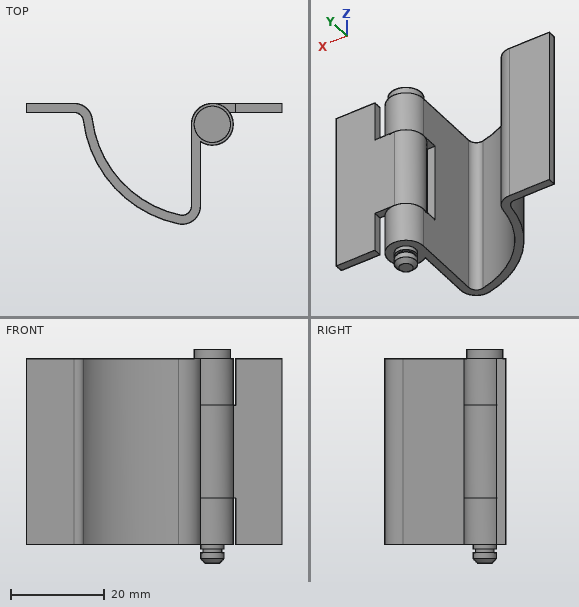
import cadquery as cq
import math

overall_width = 55.0
overall_depth = 26.0
leaf_height = 40.0
sheet = 2.0
bend_inner_radius = 2.0
flange_length = 10.3
bow_outer_radius = 26.0

pin_radius = 2.55
pin_x = 40.0
end_knuckle_height = 10.0
knuckle_clearance = 0.5

head_radius = 3.9
head_height = 2.0
tail_length = 4.0
groove_start = 1.0
groove_width = 0.7
groove_depth = 0.5
tip_chamfer = 1.0

knuckle_radius = pin_radius + sheet
pin_y = -knuckle_radius
bend_outer_radius = bend_inner_radius + sheet
bow_inner_radius = bow_outer_radius - sheet
arm_left = pin_x - knuckle_radius
arm_right = arm_left + sheet
mid_knuckle_height = leaf_height - 2 * end_knuckle_height
plate_offset = knuckle_radius + knuckle_clearance


def circle_crossing(a, radius_a, b, radius_b):
    """Crossing of two circles on the left of the line from a to b."""
    dx = b[0] - a[0]
    dy = b[1] - a[1]
    distance = math.hypot(dx, dy)
    along = (radius_a**2 - radius_b**2 + distance**2) / (2 * distance)
    across = math.sqrt(radius_a**2 - along**2)
    return (a[0] + (along * dx - across * dy) / distance, a[1] + (along * dy + across * dx) / distance)


def polar(center, radius, angle):
    return (center[0] + radius * math.cos(angle), center[1] + radius * math.sin(angle))


def knuckle(bottom, height):
    """Solid barrel around the pin axis; the bore is cut later."""
    return cq.Workplane("XY", origin=(pin_x, pin_y, bottom)).circle(knuckle_radius).extrude(height)


def pin_bore():
    return cq.Workplane("XY").center(pin_x, pin_y).circle(pin_radius).extrude(leaf_height)


def formed_sheet():
    """Flange, first bend, bowed wall, second bend and straight arm, all tangent."""
    first_bend = (flange_length, -bend_outer_radius)
    second_bend = (arm_left - bend_inner_radius, bend_outer_radius - overall_depth)
    bow = circle_crossing(
        first_bend,
        bow_outer_radius + bend_inner_radius,
        second_bend,
        bow_outer_radius - bend_outer_radius,
    )

    first_angle = math.atan2(bow[1] - first_bend[1], bow[0] - first_bend[0])
    first_middle = (math.pi / 2 + first_angle) / 2
    bow_start = first_angle + math.pi
    bow_end = math.atan2(second_bend[1] - bow[1], second_bend[0] - bow[0]) + 2 * math.pi
    bow_middle = (bow_start + bow_end) / 2
    second_middle = (bow_end + 2 * math.pi) / 2

    return (
        cq.Workplane("XY")
        .moveTo(0, 0)
        .lineTo(flange_length, 0)
        .threePointArc(
            polar(first_bend, bend_outer_radius, first_middle),
            polar(first_bend, bend_outer_radius, first_angle),
        )
        .threePointArc(polar(bow, bow_inner_radius, bow_middle), polar(bow, bow_inner_radius, bow_end))
        .threePointArc(
            polar(second_bend, bend_inner_radius, second_middle),
            (arm_left, second_bend[1]),
        )
        .lineTo(arm_left, pin_y)
        .lineTo(arm_right, pin_y)
        .lineTo(arm_right, second_bend[1])
        .threePointArc(
            polar(second_bend, bend_outer_radius, second_middle),
            polar(second_bend, bend_outer_radius, bow_end),
        )
        .threePointArc(polar(bow, bow_outer_radius, bow_middle), polar(bow, bow_outer_radius, bow_start))
        .threePointArc(
            polar(first_bend, bend_inner_radius, first_middle),
            (flange_length, -sheet),
        )
        .lineTo(0, -sheet)
        .close()
        .extrude(leaf_height)
    )


def make_formed_leaf():
    arm_notch = cq.Workplane("XY").box(
        sheet, knuckle_radius, mid_knuckle_height, centered=False
    ).translate((arm_left, pin_y - knuckle_radius, end_knuckle_height))
    leaf = formed_sheet().cut(arm_notch)
    for bottom in (0, leaf_height - end_knuckle_height):
        leaf = leaf.union(knuckle(bottom, end_knuckle_height))
    return leaf.cut(pin_bore())


def make_flat_leaf():
    plate_left = pin_x + plate_offset
    plate = cq.Workplane("XY").box(
        overall_width - plate_left, sheet, leaf_height, centered=False
    ).translate((plate_left, -sheet, 0))
    tongue = cq.Workplane("XY").box(
        plate_offset, sheet, mid_knuckle_height, centered=False
    ).translate((pin_x, -sheet, end_knuckle_height))
    barrel = knuckle(end_knuckle_height, mid_knuckle_height)
    return plate.union(tongue).union(barrel).cut(pin_bore())


def make_pin():
    groove_radius = pin_radius - groove_depth
    groove_top = -groove_start
    groove_bottom = groove_top - groove_width
    half_profile = [
        (0, -tail_length),
        (pin_radius - tip_chamfer, -tail_length),
        (pin_radius, -tail_length + tip_chamfer),
        (pin_radius, groove_bottom),
        (groove_radius, groove_bottom),
        (groove_radius, groove_top),
        (pin_radius, groove_top),
        (pin_radius, leaf_height),
        (head_radius, leaf_height),
        (head_radius, leaf_height + head_height),
        (0, leaf_height + head_height),
    ]
    pin = cq.Workplane("XZ").polyline(half_profile).close().revolve(360, (0, 0, 0), (0, 1, 0))
    return pin.translate((pin_x, pin_y, 0))


formed_leaf = make_formed_leaf()
flat_leaf = make_flat_leaf()
hinge_pin = make_pin()

result = cq.Compound.makeCompound([formed_leaf.val(), flat_leaf.val(), hinge_pin.val()])